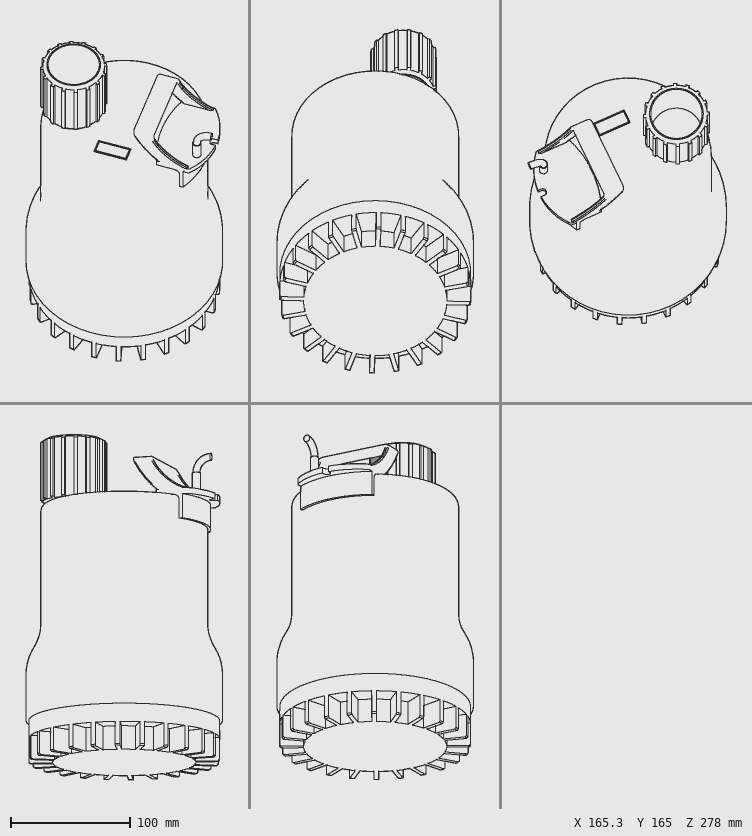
import cadquery as cq
import math

strainer_radius = 80.0
core_radius = 60.0
skirt_bottom = 20.0
strainer_top = 35.5
fin_count = 24
fin_width = 4.0
fin_tip_chamfer = 1.2

band_radius = 82.5
band_top = 75.0
band_edge_radius = 0.8
shoulder_join = 96.0
shoulder_top = 119.0
motor_radius = 70.0
housing_top = 219.0
top_edge_radius = 5.0

connector_x = -44.7
connector_bottom = 223.0
connector_top = 278.0
neck_radius = 21.6
bore_radius = 21.5
bore_floor_thickness = 2.0
rim_radius = 22.5
grip_radius = 25.8
rib_count = 16
rib_radius = 27.7
rib_width = 2.9
end_cone_angle = 30.0

handle_half_width = 34.9
foot_thickness = 5.0
foot_top = housing_top + foot_thickness
foot_inner_x = 33.2
foot_inner_radius = 88.0
foot_outer_x = 81.7
foot_outer_radius = 53.0
foot_inner_corner_radius = 1.0
foot_outer_corner_radius = 2.5
skirt_radius = 72.5
skirt_height = 20.5
wall_thickness = 3.6
grip_bend_radius = 5.0
grip_top = 253.5
grip_front_x = 18.4
grip_width = 16.8
arm_foot_inner_x = 41.0
arm_foot_outer_x = 67.5
arm_inner_mid = (26.0, 240.0)
arm_outer_mid = (51.0, 233.0)
arm_edge_radius = 1.0
notch_width = 6.0
notch_center_x = 78.7

cable_y = -17.5
cable_diameter = 6.0
cable_end_x = 82.84
cable_bend_radius = 12.9
cable_x = cable_end_x - cable_bend_radius
sleeve_diameter = 7.0
sleeve_top = 239.4

plate_length = 28.5
plate_width = 12.0
plate_height = 0.8
plate_border = 0.9
plate_recess = 0.4
plate_x = 0.3
plate_y = -32.0


def cylinder(radius, bottom, top, x=0.0, y=0.0):
    return cq.Workplane("XY", origin=(x, y, bottom)).circle(radius).extrude(top - bottom)


def block(x_min, x_max, half_width, bottom, top):
    return cq.Workplane("XY").box(
        x_max - x_min, 2 * half_width, top - bottom, centered=(False, True, False)
    ).translate((x_min, 0, bottom))


def make_strainer():
    skirt = cylinder(strainer_radius, skirt_bottom, strainer_top)
    core = cylinder(core_radius, 0, skirt_bottom)
    fin_blank = cylinder(strainer_radius, 0, skirt_bottom).faces("<Z").edges().chamfer(fin_tip_chamfer)
    fin_bars = cq.Workplane("XY")
    for index in range(fin_count // 2):
        bar = block(-strainer_radius, strainer_radius, fin_width / 2, 0, skirt_bottom)
        fin_bars = fin_bars.add(bar.rotate((0, 0, 0), (0, 0, 1), index * 360 / fin_count))
    fins = fin_blank.intersect(fin_bars.combine())
    return core.union(fins).union(skirt)


def make_housing():
    rise = shoulder_top - band_top
    step = band_radius - motor_radius
    radius_sum = (rise**2 + step**2) / (2 * step)
    share = (shoulder_join - band_top) / rise
    half_sweep = math.asin(rise / radius_sum) / 2
    lower_radius = radius_sum * share
    upper_radius = radius_sum - lower_radius
    lower_mid = (
        band_radius - lower_radius * (1 - math.cos(half_sweep)),
        band_top + lower_radius * math.sin(half_sweep),
    )
    join = (band_radius - step * share, shoulder_join)
    upper_mid = (
        motor_radius + upper_radius * (1 - math.cos(half_sweep)),
        shoulder_top - upper_radius * math.sin(half_sweep),
    )
    return (
        cq.Workplane("XZ")
        .moveTo(0, strainer_top)
        .lineTo(band_radius, strainer_top)
        .lineTo(band_radius, band_top)
        .threePointArc(lower_mid, join)
        .threePointArc(upper_mid, (motor_radius, shoulder_top))
        .lineTo(motor_radius, housing_top)
        .lineTo(0, housing_top)
        .close()
        .revolve(360, (0, 0, 0), (0, 1, 0))
        .faces(">Z")
        .edges()
        .fillet(top_edge_radius)
        .faces("<Z")
        .edges()
        .fillet(band_edge_radius)
    )


def make_connector():
    cone_height = (rib_radius - rim_radius) * math.tan(math.radians(end_cone_angle))
    envelope = (
        cq.Workplane("XZ")
        .moveTo(0, connector_bottom)
        .lineTo(rim_radius, connector_bottom)
        .lineTo(rib_radius, connector_bottom + cone_height)
        .lineTo(rib_radius, connector_top - cone_height)
        .lineTo(rim_radius, connector_top)
        .lineTo(0, connector_top)
        .close()
        .revolve(360, (0, 0, 0), (0, 1, 0))
    )
    ribbed = cylinder(grip_radius, connector_bottom, connector_top)
    for index in range(rib_count // 2):
        bar = block(-rib_radius, rib_radius, rib_width / 2, connector_bottom, connector_top)
        ribbed = ribbed.union(bar.rotate((0, 0, 0), (0, 0, 1), index * 360 / rib_count))
    grip = envelope.intersect(ribbed)
    bore = cylinder(bore_radius, connector_bottom + bore_floor_thickness, connector_top)
    neck = cylinder(neck_radius, housing_top, connector_bottom)
    return grip.cut(bore).union(neck).translate((connector_x, 0, 0))


def bow_depth(radius, half_chord):
    return radius - math.sqrt(radius**2 - half_chord**2)


def make_foot():
    """Foot plate with bowed inner and outer edges, rounded corners and a notch in the outer edge."""
    inner_corner_x = foot_inner_x + bow_depth(foot_inner_radius, handle_half_width)
    outer_corner_x = foot_outer_x - bow_depth(foot_outer_radius, handle_half_width)
    plate = (
        cq.Workplane("XY", origin=(0, 0, housing_top))
        .moveTo(inner_corner_x, -handle_half_width)
        .lineTo(outer_corner_x, -handle_half_width)
        .threePointArc((foot_outer_x, 0), (outer_corner_x, handle_half_width))
        .lineTo(inner_corner_x, handle_half_width)
        .threePointArc((foot_inner_x, 0), (inner_corner_x, -handle_half_width))
        .close()
        .extrude(foot_thickness)
    )
    plate = plate.edges("|Z").edges(">X").fillet(foot_outer_corner_radius)
    plate = plate.edges("|Z").edges("<X").fillet(foot_inner_corner_radius)
    notch = cylinder(notch_width / 2, housing_top, foot_top, notch_center_x)
    notch = notch.union(block(notch_center_x, foot_outer_x, notch_width / 2, housing_top, foot_top))
    return plate.cut(notch)


def make_arm():
    """Bowed grip on two legs, leaning from the foot towards the pump axis."""
    profile = (
        cq.Workplane("XZ", origin=(0, handle_half_width, 0))
        .moveTo(arm_foot_inner_x, foot_top)
        .threePointArc(arm_inner_mid, (grip_front_x, grip_top))
        .lineTo(grip_front_x + grip_width, grip_top)
        .threePointArc(arm_outer_mid, (arm_foot_outer_x, foot_top))
        .close()
        .extrude(2 * handle_half_width)
    )
    bow = block(0, arm_foot_outer_x, handle_half_width, foot_top, grip_top)
    bow = bow.edges("|X and >Z").fillet(grip_bend_radius)
    opening_half_width = handle_half_width - wall_thickness
    opening = block(0, arm_foot_outer_x, opening_half_width, foot_top, grip_top - wall_thickness)
    opening = opening.edges("|X and >Z").fillet(grip_bend_radius - wall_thickness)
    arm = profile.intersect(bow).cut(opening)
    return arm.edges("not |X").edges("not <Z").fillet(arm_edge_radius)


def make_skirt(housing):
    """Curved wall under the foot that closes on the side of the housing."""
    skirt_bottom_z = housing_top - skirt_height
    wall = block(0, skirt_radius, handle_half_width, skirt_bottom_z, housing_top)
    wall = wall.intersect(cylinder(skirt_radius, skirt_bottom_z, housing_top))
    return wall.cut(housing)


def make_handle(housing):
    return make_foot().union(make_arm()).union(make_skirt(housing))


def make_sleeve():
    return cylinder(sleeve_diameter / 2, foot_top, sleeve_top, cable_x, cable_y)


def make_cable():
    start = (cable_x, cable_y, sleeve_top)
    bend_end = (cable_bend_radius, cable_bend_radius)
    bend_path = cq.Workplane("XZ", origin=start).radiusArc(bend_end, cable_bend_radius)
    return cq.Workplane("XY", origin=start).circle(cable_diameter / 2).sweep(bend_path)


def make_name_plate():
    plate = cq.Workplane("XY", origin=(plate_x, plate_y, housing_top)).rect(plate_length, plate_width)
    plate = plate.extrude(plate_height)
    return (
        plate.faces(">Z")
        .workplane()
        .rect(plate_length - 2 * plate_border, plate_width - 2 * plate_border)
        .cutBlind(-plate_recess)
    )


strainer = make_strainer()
housing = make_housing()
connector = make_connector()
sleeve = make_sleeve()
cable = make_cable()
handle = make_handle(housing)
name_plate = make_name_plate()

result = cq.Compound.makeCompound(
    [
        strainer.val(),
        housing.val(),
        connector.val(),
        handle.val(),
        sleeve.val(),
        cable.val(),
        name_plate.val(),
    ]
)